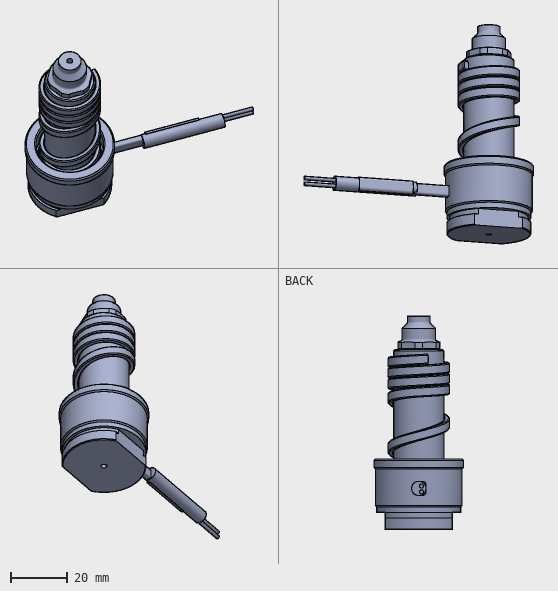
import math

import cadquery as cq

base_radius = 15.0
base_chamfer = 0.3
base_top = 4.15
relief_radius = 14.1
wrench_flat_width = 24.0
ring_bottom = 6.15
ring_radius = 15.0
cup_bottom = 8.1
cup_radius = 15.5
collar_bottom = 21.7
collar_radius = 16.0
collar_top = 25.2
rim_chamfer = 0.5
bore_radius = 12.05
bore_ledge = 19.0
coil_bore_radius = 11.4
bore_floor = 9.5
bore_chamfer = 0.5

channel_diameter = 2.0
barrel_radius = 9.0
barrel_top = 64.2
barrel_chamfer = 0.45
neck_radius = 7.0
nut_bottom = 64.6
nut_top = 67.2
nut_across_flats = 15.0
nut_corner_radius = 8.0
nut_chamfer_height = 0.45
nozzle_radius = 6.0
nozzle_root_fillet = 0.75
shoulder_z = 71.75
shoulder_slope = math.radians(45)
tip_radius = 4.05
tip_fillet = 1.0
tip_top = 76.2

coil_outer_radius = 11.0
coil_embed = 0.1
strip_height = 3.6
strip_chamfer = 0.4
coil_start_angle = 109.0
coil_start_z = 60.85
tight_pitch = 3.85
open_pitch = 18.0
tight_sweep = 1097.0
blend_sweep = 128.0
open_sweep = 376.0
points_per_turn = 24

cable_z = 14.5
cable_width = 2.5
cable_height = 3.95
cable_fillet = 0.6
cable_x = -0.75
cable_start_y = 14.0
cable_overlap = 1.0
sleeve_z = 14.7
sleeve_diameter = 5.1
sleeve_start_y = 27.3
sleeve_length = 30.2
label_height = 5.0
label_depth = 1.4
label_fillet = 1.1
label_start_y = 28.9
label_length = 20.0
wire_diameter = 1.4
wire_spacing = 2.1
wire_x = -0.95
wire_end_y = 69.0


def revolve_about_z(profile):
    """Turn a closed (radius, z) profile around the Z axis."""
    return profile.close().revolve(360, (0, 0, 0), (0, 1, 0))


def make_housing():
    profile = (
        cq.Workplane("XZ")
        .moveTo(0, 0)
        .lineTo(base_radius - base_chamfer, 0)
        .lineTo(base_radius, base_chamfer)
        .lineTo(base_radius, base_top)
        .lineTo(relief_radius, base_top)
        .lineTo(relief_radius, ring_bottom)
        .lineTo(ring_radius, ring_bottom)
        .lineTo(ring_radius, cup_bottom)
        .lineTo(cup_radius, cup_bottom + cup_radius - ring_radius)
        .lineTo(cup_radius, collar_bottom)
        .lineTo(collar_radius, collar_bottom + collar_radius - cup_radius)
        .lineTo(collar_radius, collar_top - rim_chamfer)
        .lineTo(collar_radius - rim_chamfer, collar_top)
        .lineTo(bore_radius + bore_chamfer, collar_top)
        .lineTo(bore_radius, collar_top - bore_chamfer)
        .lineTo(bore_radius, bore_ledge)
        .lineTo(coil_bore_radius, bore_ledge)
        .lineTo(coil_bore_radius, bore_floor)
        .lineTo(0, bore_floor)
    )
    housing = revolve_about_z(profile)
    flat_offset = wrench_flat_width / 2
    for side in (-1, 1):
        waste = (
            cq.Workplane("XY")
            .center(side * (flat_offset + base_radius / 2), 0)
            .rect(base_radius, 2 * base_radius)
            .extrude(ring_bottom)
        )
        housing = housing.cut(waste)
    return housing


def make_barrel_and_nozzle():
    diagonal = math.sqrt(0.5)
    root_r = nozzle_radius + nozzle_root_fillet
    root_z = nut_top + nozzle_root_fillet
    cone_r = tip_radius + tip_fillet * (1 - math.cos(shoulder_slope))
    cone_z = shoulder_z + (nozzle_radius - cone_r) * math.tan(shoulder_slope)
    fillet_top_z = cone_z + tip_fillet * math.sin(shoulder_slope)
    mid_r = tip_radius + tip_fillet * (1 - math.cos(shoulder_slope / 2))
    mid_z = fillet_top_z - tip_fillet * math.sin(shoulder_slope / 2)
    profile = (
        cq.Workplane("XZ")
        .moveTo(0, bore_floor)
        .lineTo(barrel_radius, bore_floor)
        .lineTo(barrel_radius, barrel_top - barrel_chamfer)
        .lineTo(barrel_radius - barrel_chamfer, barrel_top)
        .lineTo(neck_radius, barrel_top)
        .lineTo(neck_radius, nut_bottom)
        .lineTo(root_r, nut_bottom)
        .lineTo(root_r, nut_top)
        .threePointArc(
            (root_r - nozzle_root_fillet * diagonal, root_z - nozzle_root_fillet * diagonal),
            (nozzle_radius, root_z),
        )
        .lineTo(nozzle_radius, shoulder_z)
        .lineTo(cone_r, cone_z)
        .threePointArc((mid_r, mid_z), (tip_radius, fillet_top_z))
        .lineTo(tip_radius, tip_top)
        .lineTo(0, tip_top)
    )
    return revolve_about_z(profile)


def make_nut():
    half_side_angle = 360 / 6 / 2
    corner_diameter = nut_across_flats / math.cos(math.radians(half_side_angle))
    hexagon = (
        cq.Workplane("XY")
        .workplane(offset=nut_bottom)
        .transformed(rotate=(0, 0, half_side_angle))
        .polygon(6, corner_diameter)
        .extrude(nut_top - nut_bottom)
    )
    blank = revolve_about_z(
        cq.Workplane("XZ")
        .moveTo(0, nut_bottom)
        .lineTo(nut_corner_radius, nut_bottom)
        .lineTo(nut_corner_radius, nut_top - nut_chamfer_height)
        .lineTo(nozzle_radius + nozzle_root_fillet, nut_top)
        .lineTo(0, nut_top)
    )
    return hexagon.intersect(blank)


def coil_drop(sweep):
    """Drop of the strip below its top end after winding through `sweep` degrees."""
    tight_slope = tight_pitch / 360
    extra_slope = (open_pitch - tight_pitch) / 360
    blend_1 = min(max(sweep - tight_sweep, 0), blend_sweep)
    opened = min(max(sweep - tight_sweep - blend_sweep, 0), open_sweep)
    blend_2 = min(max(sweep - tight_sweep - blend_sweep - open_sweep, 0), blend_sweep)
    extra = blend_1**2 / (2 * blend_sweep) + opened + blend_2 - blend_2**2 / (2 * blend_sweep)
    return tight_slope * sweep + extra_slope * extra


def coil_point(radius, offset, sweep):
    angle = math.radians(coil_start_angle - sweep)
    z = coil_start_z - coil_drop(sweep) + offset
    return cq.Vector(radius * math.cos(angle), radius * math.sin(angle), z)


def strip_section(sweep, inset=0.0):
    """Corners of the bevelled strip section at one winding angle, shrunk by `inset`."""
    inner = barrel_radius - coil_embed
    outer = coil_outer_radius - inset
    half = strip_height / 2 - inset
    bevel = strip_chamfer
    inner_bevel = strip_chamfer + coil_embed
    corners = [
        (inner, half - inner_bevel),
        (inner + inner_bevel, half),
        (outer - bevel, half),
        (outer, half - bevel),
        (outer, bevel - half),
        (outer - bevel, -half),
        (inner + inner_bevel, -half),
        (inner, inner_bevel - half),
    ]
    return [coil_point(radius, offset, sweep) for radius, offset in corners]


def ruled_band(edges):
    """Ruled faces between neighbouring edges of a closed ring of edges."""
    return [cq.Face.makeRuledSurface(edges[i - 1], edge) for i, edge in enumerate(edges)]


def make_coil():
    end_sweep = math.degrees(strip_chamfer / coil_outer_radius)
    sweeps = (tight_sweep - end_sweep, blend_sweep, open_sweep, blend_sweep, tight_sweep - end_sweep)
    total = sum(sweeps) + 2 * end_sweep
    faces = []
    start = end_sweep
    for sweep in sweeps:
        steps = math.ceil(sweep / 360 * points_per_turn)
        sections = [strip_section(start + sweep * i / steps) for i in range(steps + 1)]
        faces += ruled_band([cq.Edge.makeSpline(list(track)) for track in zip(*sections)])
        start += sweep
    for body_end, tip in ((end_sweep, 0.0), (total - end_sweep, total)):
        full = strip_section(body_end)
        small = strip_section(tip, strip_chamfer)
        faces += ruled_band([cq.Edge.makeLine(p, q) for p, q in zip(full, small)])
        faces.append(cq.Face.makeFromWires(cq.Wire.makePolygon(small, close=True)))
    shell = cq.Shell.makeShell(faces)
    return cq.Workplane(obj=cq.Solid.makeSolid(shell))


def along_y(start_y, z):
    """Plane facing +Y at height z; local x is -X, local y is Z."""
    return cq.Workplane(cq.Plane((0, start_y, z), xDir=(-1, 0, 0), normal=(0, 1, 0)))


def make_cable():
    cord = (
        along_y(cable_start_y, cable_z)
        .center(-cable_x, 0)
        .rect(cable_width, cable_height)
        .extrude(sleeve_start_y + cable_overlap - cable_start_y)
        .edges("|Y")
        .fillet(cable_fillet)
    )
    sleeve = along_y(sleeve_start_y, sleeve_z).circle(sleeve_diameter / 2).extrude(sleeve_length)
    label = (
        along_y(label_start_y, sleeve_z)
        .center((sleeve_diameter - label_depth) / 2, 0)
        .rect(label_depth, label_height)
        .extrude(label_length)
        .edges("|Y and <X")
        .fillet(label_fillet)
    )
    sleeve_end_y = sleeve_start_y + sleeve_length
    wires = (
        along_y(sleeve_end_y, cable_z)
        .pushPoints([(-wire_x, -wire_spacing / 2), (-wire_x, wire_spacing / 2)])
        .circle(wire_diameter / 2)
        .extrude(wire_end_y - sleeve_end_y)
    )
    return cord.union(sleeve).union(label).union(wires)


body = make_housing().union(make_barrel_and_nozzle()).union(make_nut())
body = body.union(make_cable()).union(make_coil())
channel = cq.Workplane("XY").circle(channel_diameter / 2).extrude(tip_top)
result = body.cut(channel)